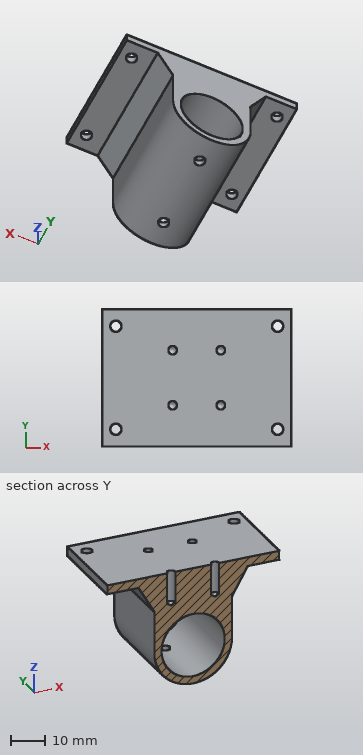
import cadquery as cq
import math

plate_length = 55.0
plate_width = 40.0
plate_thickness = 3.0

total_height = 37.5
housing_width = 25.0
housing_radius = housing_width / 2
bore_diameter = 20.0
axis_height = housing_radius

shoulder_width = 35.0
shoulder_angle = 60.0

corner_hole_diameter = 3.2
corner_spacing_x = 47.0
corner_spacing_y = 30.0

blind_hole_diameter = 2.5
blind_spacing_x = 14.0
blind_spacing_y = 16.0
blind_hole_depth = 9.9
drill_point_angle = 118.0

bottom_hole_diameter = 3.2
bottom_hole_spacing = 24.0

plate_underside = total_height - plate_thickness
shoulder_run = (shoulder_width - housing_width) / 2
shoulder_bottom = plate_underside - shoulder_run * math.tan(math.radians(shoulder_angle))


def make_body():
    """Extrude the plate and housing profile along Y, centred on the origin."""
    return (
        cq.Workplane("XZ")
        .moveTo(-plate_length / 2, total_height)
        .lineTo(plate_length / 2, total_height)
        .lineTo(plate_length / 2, plate_underside)
        .lineTo(shoulder_width / 2, plate_underside)
        .lineTo(housing_radius, shoulder_bottom)
        .lineTo(housing_radius, axis_height)
        .threePointArc((0, axis_height - housing_radius), (-housing_radius, axis_height))
        .lineTo(-housing_radius, shoulder_bottom)
        .lineTo(-shoulder_width / 2, plate_underside)
        .lineTo(-plate_length / 2, plate_underside)
        .close()
        .extrude(plate_width / 2, both=True)
    )


def make_bore():
    return (
        cq.Workplane("XZ")
        .center(0, axis_height)
        .circle(bore_diameter / 2)
        .extrude(plate_width / 2, both=True)
    )


def make_corner_holes():
    return (
        cq.Workplane("XY", origin=(0, 0, plate_underside))
        .rarray(corner_spacing_x, corner_spacing_y, 2, 2)
        .circle(corner_hole_diameter / 2)
        .extrude(plate_thickness)
    )


def make_blind_hole(x, y):
    """Vertical drilled hole with a conical tip, opening at the plate top."""
    radius = blind_hole_diameter / 2
    tip_length = radius / math.tan(math.radians(drill_point_angle / 2))
    return (
        cq.Workplane("XZ")
        .lineTo(radius, 0)
        .lineTo(radius, -blind_hole_depth)
        .lineTo(0, -blind_hole_depth - tip_length)
        .close()
        .revolve(360, (0, 0), (0, 1))
        .translate((x, y, total_height))
    )


def make_bottom_holes():
    return (
        cq.Workplane("XY")
        .pushPoints([(0, -bottom_hole_spacing / 2), (0, bottom_hole_spacing / 2)])
        .circle(bottom_hole_diameter / 2)
        .extrude(axis_height)
    )


result = make_body().cut(make_bore()).cut(make_corner_holes()).cut(make_bottom_holes())
for side_x in (-1, 1):
    for side_y in (-1, 1):
        blind_hole = make_blind_hole(side_x * blind_spacing_x / 2, side_y * blind_spacing_y / 2)
        result = result.cut(blind_hole)